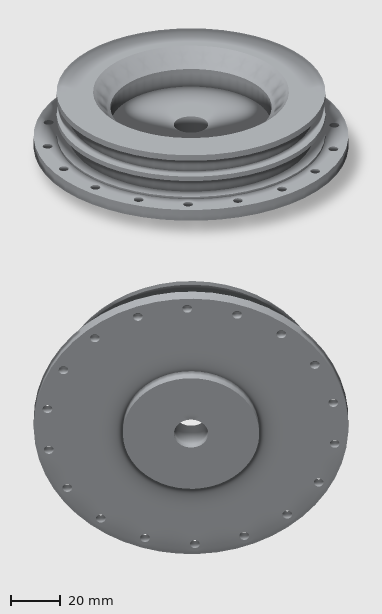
import cadquery as cq

total_height = 30.0
hub_height = 5.0
flange_thickness = 5.0
lower_rim_thickness = 1.0
groove_width = 7.2
middle_rim_thickness = 2.0

flange_diameter = 127.0
hub_diameter = 55.0
rim_diameter = 108.5
groove_diameter = 99.3

recess_diameter = 65.0
recess_depth = 15.0
recess_chamfer = 7.0
bore_diameter = 13.8

bolt_count = 18
bolt_diameter = 4.0
bolt_circle_diameter = 117.1

flange_top = hub_height + flange_thickness
lower_groove_bottom = flange_top + lower_rim_thickness
upper_groove_bottom = lower_groove_bottom + groove_width + middle_rim_thickness


def disc(diameter, bottom, top):
    """Cylinder on the Z axis between two heights."""
    return cq.Workplane("XY").workplane(offset=bottom).circle(diameter / 2).extrude(top - bottom)


def cut_groove(body, bottom):
    """Cut one rectangular groove around the drum."""
    top = bottom + groove_width
    ring = disc(flange_diameter, bottom, top).cut(disc(groove_diameter, bottom, top))
    return body.cut(ring)


body = disc(hub_diameter, 0, hub_height)
body = body.union(disc(flange_diameter, hub_height, flange_top))
body = body.union(disc(rim_diameter, flange_top, total_height))
for groove_bottom in (lower_groove_bottom, upper_groove_bottom):
    body = cut_groove(body, groove_bottom)

recess = disc(recess_diameter, total_height - recess_depth, total_height)
mouth = (
    cq.Workplane("XY")
    .workplane(offset=total_height - recess_chamfer)
    .circle(recess_diameter / 2)
    .workplane(offset=recess_chamfer)
    .circle(recess_diameter / 2 + recess_chamfer)
    .loft()
)
body = body.cut(recess).cut(mouth)

body = body.cut(disc(bore_diameter, 0, total_height))

bolt_holes = (
    cq.Workplane("XY")
    .workplane(offset=hub_height)
    .polarArray(bolt_circle_diameter / 2, 0, 360, bolt_count)
    .circle(bolt_diameter / 2)
    .extrude(flange_thickness)
)
result = body.cut(bolt_holes)